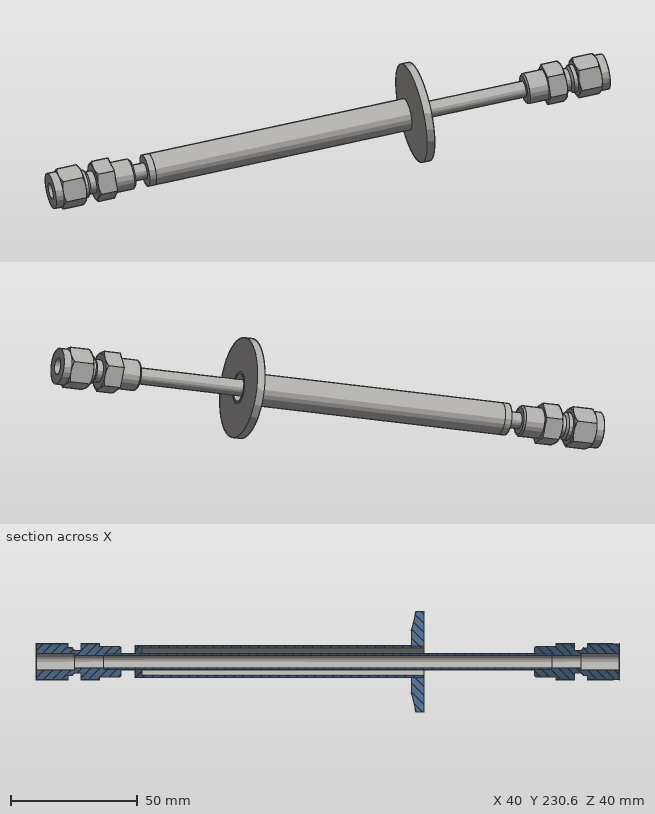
import cadquery as cq
import math

overall_length = 230.6
half_length = overall_length / 2

tube_diameter = 6.5
bore_diameter = 4.8

sleeve_diameter = 12.7
sleeve_bore = 10.8
cap_end_y = -76.0
cap_length = 2.8

flange_diameter = 40.0
flange_face_diameter = 24.7
flange_thickness = 5.0
flange_rim_width = 3.2
flange_back_y = 38.0

hex_across_flats = 14.3
hex_chamfer_angle = 30.0
nut_collar_length = 3.2
nut_length = 12.7
thread_diameter = 11.0
thread_end = 14.3
neck_diameter = 9.0
neck_start = 15.2
body_hex_start = 17.8
body_hex_end = 25.1
stub_diameter = 12.2
stub_chamfer = 0.7
fitting_length = 33.7
nut_socket_diameter = tube_diameter
nut_socket_depth = 15.2
weld_socket_depth = 7.0


def revolve_profile(points):
    """Turn (radius, y) points around the Y axis."""
    return cq.Workplane("XY").polyline(points).close().revolve(360, (0, 0, 0), (0, 1, 0))


def rod(diameter, start_y, end_y):
    """Solid round bar along Y from start_y up to end_y."""
    return (
        cq.Workplane("XZ", origin=(0, end_y, 0))
        .circle(diameter / 2)
        .extrude(end_y - start_y)
    )


def hexagon(start_y, end_y, chamfer_start, chamfer_end):
    """Hexagonal bar with flats facing +Z and -Z, its corners chamfered at the chosen ends."""
    corner_radius = hex_across_flats / 2 / math.cos(math.pi / 6)
    flat_radius = hex_across_flats / 2
    drop = (corner_radius - flat_radius) * math.tan(math.radians(hex_chamfer_angle))
    bar = (
        cq.Workplane("XZ", origin=(0, end_y, 0))
        .polygon(6, 2 * corner_radius)
        .extrude(end_y - start_y)
    )
    envelope = revolve_profile([
        (0, start_y),
        (flat_radius if chamfer_start else corner_radius, start_y),
        (corner_radius, start_y + drop),
        (corner_radius, end_y - drop),
        (flat_radius if chamfer_end else corner_radius, end_y),
        (0, end_y),
    ])
    return bar.intersect(envelope)


def make_fitting():
    """Fitting at the -Y end of the assembly, with its nut facing -Y."""
    outer_end = -half_length
    turned_core = revolve_profile([
        (0, outer_end),
        (hex_across_flats / 2, outer_end),
        (hex_across_flats / 2, outer_end + nut_collar_length),
        (thread_diameter / 2, outer_end + nut_collar_length),
        (thread_diameter / 2, outer_end + thread_end),
        (neck_diameter / 2, outer_end + neck_start),
        (neck_diameter / 2, outer_end + body_hex_start),
        (stub_diameter / 2, outer_end + body_hex_start),
        (stub_diameter / 2, outer_end + fitting_length - stub_chamfer),
        (stub_diameter / 2 - stub_chamfer, outer_end + fitting_length),
        (0, outer_end + fitting_length),
    ])
    nut_hex = hexagon(outer_end + nut_collar_length, outer_end + nut_length, True, True)
    body_hex = hexagon(outer_end + body_hex_start, outer_end + body_hex_end, True, False)
    bore = rod(bore_diameter, outer_end, outer_end + fitting_length)
    nut_socket = rod(nut_socket_diameter, outer_end, outer_end + nut_socket_depth)
    weld_socket = rod(
        tube_diameter, outer_end + fitting_length - weld_socket_depth, outer_end + fitting_length
    )
    outside = turned_core.union(nut_hex).union(body_hex)
    return outside.cut(bore).cut(nut_socket).cut(weld_socket)


def make_tube():
    """Inner tube, seated in the weld sockets of both fittings."""
    tube_end = half_length - fitting_length + weld_socket_depth
    return rod(tube_diameter, -tube_end, tube_end).cut(rod(bore_diameter, -tube_end, tube_end))


def make_sleeve():
    """Hollow sleeve from the end cap to the back face of the flange."""
    start_y = cap_end_y + cap_length
    return rod(sleeve_diameter, start_y, flange_back_y).cut(rod(sleeve_bore, start_y, flange_back_y))


def make_end_cap():
    """Disc that closes the end of the sleeve around the tube."""
    end_y = cap_end_y + cap_length
    return rod(sleeve_diameter, cap_end_y, end_y).cut(rod(tube_diameter, cap_end_y, end_y))


def make_flange():
    """Flange with a straight rim and a conical front, bored for the sleeve."""
    front_y = flange_back_y - flange_thickness
    return revolve_profile([
        (sleeve_diameter / 2, front_y),
        (flange_face_diameter / 2, front_y),
        (flange_diameter / 2, flange_back_y - flange_rim_width),
        (flange_diameter / 2, flange_back_y),
        (sleeve_diameter / 2, flange_back_y),
    ])


tube = make_tube()
sleeve = make_sleeve()
end_cap = make_end_cap()
flange = make_flange()
fittings = [make_fitting().rotate((0, 0, 0), (0, 0, 1), angle) for angle in (0, 180)]

result = cq.Compound.makeCompound([
    tube.val(),
    sleeve.val(),
    end_cap.val(),
    flange.val(),
    *[fitting.val() for fitting in fittings],
])